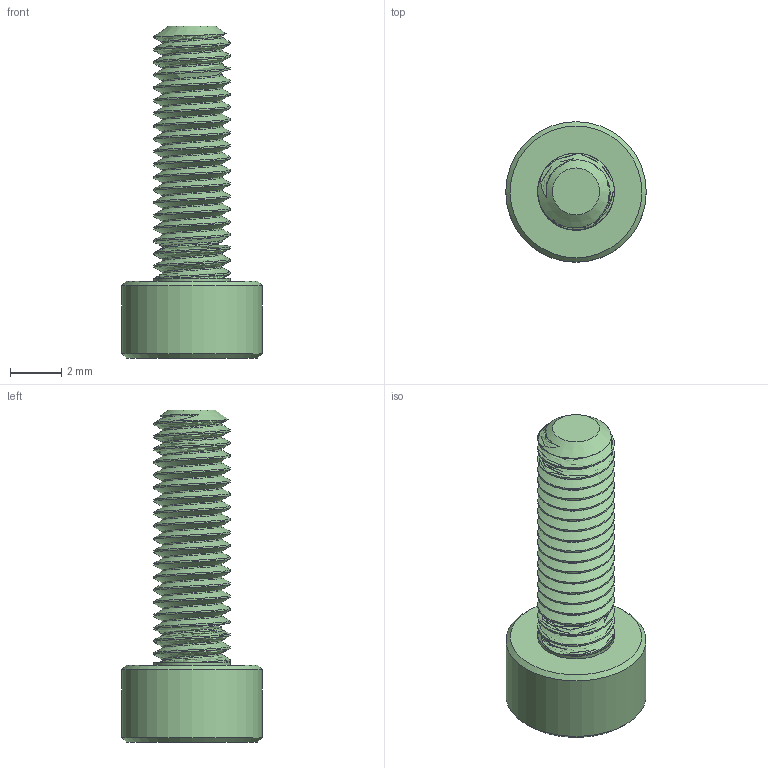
import cadquery as cq
import math

head_diameter = 5.5
head_height = 3.0
head_chamfer = 0.17

thread_diameter = 3.0
root_diameter = 2.35
pitch = 0.5
shank_length = 10.0
crest_width = pitch / 8
flank_half_angle = math.radians(30)
collar_height = 0.13

tip_diameter = 1.84
tip_cone_height = 0.42

first_crest_height = 0.08

ridge_embed = 0.02

thread_radius = thread_diameter / 2
root_radius = root_diameter / 2
tip_radius = tip_diameter / 2
total_height = head_height + shank_length


def make_head():
    head = cq.Workplane("XY").circle(head_diameter / 2).extrude(head_height)
    return head.edges().chamfer(head_chamfer)


def make_collar():
    """Unthreaded ring between the head and the first thread turn."""
    return cq.Workplane("XY", origin=(0, 0, head_height)).circle(thread_radius).extrude(collar_height)


def make_core():
    """Cylinder at the thread root diameter, running the full shank length."""
    return cq.Workplane("XY", origin=(0, 0, head_height)).circle(root_radius).extrude(shank_length)


def make_thread_ridge():
    """Right-hand helical V ridge, started a turn below the head face and run past the tip."""
    base_radius = root_radius - ridge_embed
    crest_half = crest_width / 2
    base_half = crest_half + (thread_radius - base_radius) * math.tan(flank_half_angle)
    start_z = head_height + first_crest_height - pitch

    helix = cq.Wire.makeHelix(pitch, shank_length + 2 * pitch, base_radius)
    ridge = (
        cq.Workplane("XZ")
        .polyline([
            (base_radius, -base_half),
            (thread_radius, -crest_half),
            (thread_radius, crest_half),
            (base_radius, base_half),
        ])
        .close()
        .sweep(cq.Workplane(obj=helix), isFrenet=True)
    )
    return ridge.rotate((0, 0, 0), (0, 0, 1), 180).translate((0, 0, start_z))


def make_shank_envelope():
    """Trims the thread flat within the collar and to the tip cone, clear of the thread crests."""
    envelope_radius = thread_radius + pitch
    cone_slope = tip_cone_height / (thread_radius - tip_radius)
    shoulder_z = total_height - (envelope_radius - tip_radius) * cone_slope
    bottom_z = head_height + collar_height / 2
    return (
        cq.Workplane("XZ")
        .moveTo(0, bottom_z)
        .lineTo(envelope_radius, bottom_z)
        .lineTo(envelope_radius, shoulder_z)
        .lineTo(tip_radius, total_height)
        .lineTo(0, total_height)
        .close()
        .revolve(360, (0, 0, 0), (0, 1, 0))
    )


threaded_shank = make_core().union(make_thread_ridge()).intersect(make_shank_envelope())
result = make_head().union(make_collar()).union(threaded_shank)